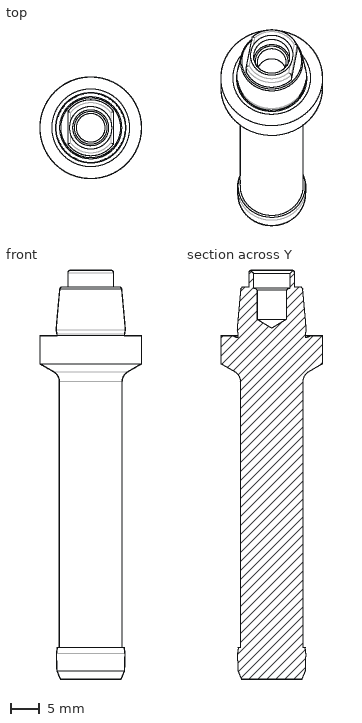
import cadquery as cq
import math

total_length = 71.45
shaft_radius = 5.5

tail_end_radius = 5.3
tail_radius = 5.9
tail_crest_radius = 6.0
tail_shoulder_radius = 5.85
tail_chamfer_height = 1.5
tail_crest_height = 4.5
tail_height = 5.6

flange_diameter = 17.8
flange_top = 60.0
flange_thickness = 4.9
underside_angle = math.radians(30)
blend_radius = 2.0

undercut_outer_radius = 6.8
undercut_floor_outer_radius = 6.15
undercut_inner_radius = 5.9
undercut_depth = 0.3

taper_base = 61.0
taper_base_radius = 6.1
taper_top_radius = 5.4
taper_chamfer_height = 0.35
taper_chamfer_width = 0.2

boss_diameter = 9.8
boss_height = 2.9
flat_distance = 4.0
boss_rounding = 0.5

bore_radius = 3.15
bore_chamfer = 0.6
bore_depth = 3.15
drill_radius = 2.5
step_radius = 2.85
step_cone_height = 0.35
drill_depth = 8.6
drill_tip_angle = math.radians(59)

boss_base = total_length - boss_height
flange_bottom = flange_top - flange_thickness
flange_radius = flange_diameter / 2
boss_radius = boss_diameter / 2


def revolve_profile(sketch):
    """Close a half profile and turn it around Z."""
    return sketch.close().revolve(360, (0, 0, 0), (0, 1, 0))


def make_body():
    """Shaft, tail collar, flange and tapered seat as one turned body."""
    blend_end_radius = shaft_radius + blend_radius * (1 - math.sin(underside_angle))
    blend_end_z = flange_bottom - (flange_radius - blend_end_radius) * math.tan(underside_angle)
    blend_start_z = blend_end_z - blend_radius * math.cos(underside_angle)
    half_turn = (math.pi / 2 - underside_angle) / 2
    blend_middle = (
        shaft_radius + blend_radius * (1 - math.cos(half_turn)),
        blend_start_z + blend_radius * math.sin(half_turn),
    )
    undercut_floor = flange_top - undercut_depth

    profile = (
        cq.Workplane("XZ")
        .moveTo(0, 0)
        .lineTo(tail_end_radius, 0)
        .lineTo(tail_radius, tail_chamfer_height)
        .lineTo(tail_crest_radius, tail_crest_height)
        .lineTo(tail_shoulder_radius, tail_height)
        .lineTo(shaft_radius, tail_height)
        .lineTo(shaft_radius, blend_start_z)
        .threePointArc(blend_middle, (blend_end_radius, blend_end_z))
        .lineTo(flange_radius, flange_bottom)
        .lineTo(flange_radius, flange_top)
        .lineTo(undercut_outer_radius, flange_top)
        .lineTo(undercut_floor_outer_radius, undercut_floor)
        .lineTo(undercut_inner_radius, undercut_floor)
        .lineTo(undercut_inner_radius, flange_top + undercut_depth)
        .lineTo(taper_base_radius, taper_base)
        .lineTo(taper_top_radius, boss_base - taper_chamfer_height)
        .lineTo(taper_top_radius - taper_chamfer_width, boss_base)
        .lineTo(0, boss_base)
    )
    return revolve_profile(profile)


def make_boss():
    """Round boss cut by two flats facing X, with a rounded top rim."""
    flats = cq.Workplane("XY").rect(2 * flat_distance, 2 * boss_radius).extrude(boss_height)
    boss = cq.Workplane("XY").circle(boss_radius).extrude(boss_height).intersect(flats)
    return boss.faces(">Z").edges().fillet(boss_rounding).translate((0, 0, boss_base))


def make_bore():
    """Chamfered counterbore over a drilled hole with a conical tip."""
    step_z = total_length - bore_depth
    drill_end = total_length - drill_depth
    tip_z = drill_end - drill_radius / math.tan(drill_tip_angle)
    profile = (
        cq.Workplane("XZ")
        .moveTo(0, tip_z)
        .lineTo(drill_radius, drill_end)
        .lineTo(drill_radius, step_z - step_cone_height)
        .lineTo(step_radius, step_z)
        .lineTo(bore_radius, step_z)
        .lineTo(bore_radius, total_length - bore_chamfer)
        .lineTo(bore_radius + bore_chamfer, total_length)
        .lineTo(0, total_length)
    )
    return revolve_profile(profile)


result = make_body().union(make_boss()).cut(make_bore())